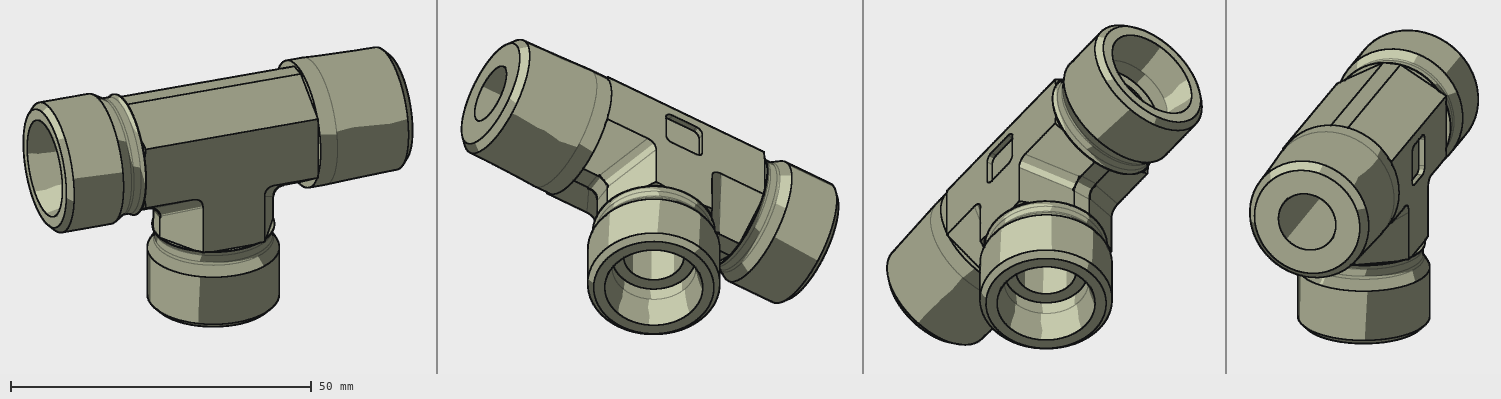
import cadquery as cq
import math

THREAD_END_REACH = 30.0
TAPER_END_REACH = 32.0

HEXAGON_SIDES = 6
BODY_ACROSS_FLATS = 19.0
CREST_DISTANCE = 10.1
BODY_REACH = 15.85
TAPER_BODY_REACH = 15.0
TEE_FILLET = 2.0

THREAD_DIAMETER = 22.0
THREAD_LENGTH = 9.8
THREAD_CHAMFER = 1.0
NECK_DIAMETER = 19.7
LIP_DIAMETER = 20.4
NECK_ARC_RADIUS = 1.0
NECK_ARC_CENTRE_REACH = 16.7
SHOULDER_ANGLE = math.radians(30)

COLLAR_DIAMETER = 21.52
COLLAR_LENGTH = 2.95
TAPER_RATIO = 1 / 16
TAPER_CHAMFER = 1.2

BORE_DIAMETER = 10.0
SOCKET_DIAMETER = 14.0
SOCKET_DEPTH = 8.0
SEAT_DIAMETER = 16.3
SEAT_HALF_ANGLE = math.radians(12)

PANEL_SIZE = 7.1
PANEL_CORNER_RADIUS = 1.2
PANEL_DEPTH = 1.0

NECK_RADIUS = NECK_DIAMETER / 2
NECK_ARC_CENTRE_RADIUS = NECK_RADIUS + NECK_ARC_RADIUS
TOLERANCE = 1e-4

AXIS_START = (0, 0, 0)
AXIS_END = (0, 1, 0)


def to_front(shape):
    """Turn a shape built along +Z so that it points along -Y."""
    return shape.rotate((0, 0, 0), (1, 0, 0), 90)


def to_back(shape):
    """Turn a shape built along +Z so that it points along +Y."""
    return shape.rotate((0, 0, 0), (1, 0, 0), -90)


def to_bottom(shape):
    """Turn a shape built along +Z so that it points along -Z."""
    return shape.rotate((0, 0, 0), (1, 0, 0), 180)


def revolve_about_z(profile):
    """Revolve a closed (radius, reach) profile drawn in the XZ plane."""
    return profile.close().revolve(360, AXIS_START, AXIS_END)


def hexagonal_bar(length):
    """Hexagonal bar along +Z, flats on +-X, the crests on +-Y cut flat."""
    corner_diameter = BODY_ACROSS_FLATS / math.cos(math.pi / HEXAGON_SIDES)
    hexagon = (
        cq.Workplane("XY")
        .transformed(rotate=(0, 0, 90))
        .polygon(HEXAGON_SIDES, corner_diameter)
        .extrude(length)
    )
    crest_limit = cq.Workplane("XY").rect(2 * BODY_ACROSS_FLATS, 2 * CREST_DISTANCE).extrude(length)
    return hexagon.intersect(crest_limit)


def lip_groove():
    """Quarter-round ring, along +Z, that hollows the lip and the bar corners above a neck."""
    arc_top_reach = NECK_ARC_CENTRE_REACH - NECK_ARC_RADIUS
    arc_mid = (
        NECK_ARC_CENTRE_RADIUS - NECK_ARC_RADIUS * math.cos(math.pi / 4),
        NECK_ARC_CENTRE_REACH - NECK_ARC_RADIUS * math.sin(math.pi / 4),
    )
    outside_radius = NECK_ARC_CENTRE_RADIUS + NECK_ARC_RADIUS
    return revolve_about_z(
        cq.Workplane("XZ")
        .moveTo(NECK_RADIUS, NECK_ARC_CENTRE_REACH)
        .threePointArc(arc_mid, (NECK_ARC_CENTRE_RADIUS, arc_top_reach))
        .lineTo(outside_radius, arc_top_reach)
        .lineTo(outside_radius, NECK_ARC_CENTRE_REACH)
    )


def is_inside_corner(edge):
    """True for the edges where the branch meets the run, at equal reach along Y and -Z."""
    centre = edge.Center()
    return abs(abs(centre.y) + centre.z) < TOLERANCE


def tee_body():
    """Run and branch bars, joined with fillets in the two inside corners."""
    run = to_front(hexagonal_bar(BODY_REACH)).union(to_back(hexagonal_bar(TAPER_BODY_REACH)))
    branch = to_bottom(hexagonal_bar(BODY_REACH))
    body = run.union(branch).clean()
    inside_edges = [edge for edge in body.edges().vals() if is_inside_corner(edge)]
    return body.newObject(inside_edges).fillet(TEE_FILLET)


def threaded_end():
    """Neck, conical shoulder and thread cylinder of a straight-threaded end, along +Z."""
    thread_radius = THREAD_DIAMETER / 2
    shoulder_reach = THREAD_END_REACH - THREAD_LENGTH
    cone_start_radius = NECK_ARC_CENTRE_RADIUS - NECK_ARC_RADIUS * math.cos(SHOULDER_ANGLE)
    cone_start_reach = shoulder_reach - (thread_radius - cone_start_radius) / math.tan(SHOULDER_ANGLE)
    neck_end_reach = cone_start_reach - NECK_ARC_RADIUS * math.sin(SHOULDER_ANGLE)
    shoulder_mid = (
        NECK_ARC_CENTRE_RADIUS - NECK_ARC_RADIUS * math.cos(SHOULDER_ANGLE / 2),
        neck_end_reach + NECK_ARC_RADIUS * math.sin(SHOULDER_ANGLE / 2),
    )

    return revolve_about_z(
        cq.Workplane("XZ")
        .moveTo(0, BODY_REACH)
        .lineTo(LIP_DIAMETER / 2, BODY_REACH)
        .lineTo(LIP_DIAMETER / 2, NECK_ARC_CENTRE_REACH)
        .lineTo(NECK_RADIUS, NECK_ARC_CENTRE_REACH)
        .lineTo(NECK_RADIUS, neck_end_reach)
        .threePointArc(shoulder_mid, (cone_start_radius, cone_start_reach))
        .lineTo(thread_radius, shoulder_reach)
        .lineTo(thread_radius, THREAD_END_REACH - THREAD_CHAMFER)
        .lineTo(thread_radius - THREAD_CHAMFER, THREAD_END_REACH)
        .lineTo(0, THREAD_END_REACH)
    )


def tapered_end():
    """Collar and tapered thread with a chamfered tip, along +Z."""
    collar_radius = COLLAR_DIAMETER / 2
    taper_start = TAPER_BODY_REACH + COLLAR_LENGTH
    taper_end = TAPER_END_REACH - TAPER_CHAMFER
    taper_end_radius = collar_radius - (taper_end - taper_start) * TAPER_RATIO / 2
    return revolve_about_z(
        cq.Workplane("XZ")
        .moveTo(0, TAPER_BODY_REACH)
        .lineTo(collar_radius, TAPER_BODY_REACH)
        .lineTo(collar_radius, taper_start)
        .lineTo(taper_end_radius, taper_end)
        .lineTo(taper_end_radius - TAPER_CHAMFER, TAPER_END_REACH)
        .lineTo(0, TAPER_END_REACH)
    )


def bore(reach):
    """Plain bore from the crossing of the axes out to an end, along +Z."""
    return cq.Workplane("XY").circle(BORE_DIAMETER / 2).extrude(reach)


def socket():
    """Tube socket with a conical seat at its mouth, along +Z."""
    socket_radius = SOCKET_DIAMETER / 2
    seat_radius = SEAT_DIAMETER / 2
    seat_length = (seat_radius - socket_radius) / math.tan(SEAT_HALF_ANGLE)
    return revolve_about_z(
        cq.Workplane("XZ")
        .moveTo(0, THREAD_END_REACH - SOCKET_DEPTH)
        .lineTo(socket_radius, THREAD_END_REACH - SOCKET_DEPTH)
        .lineTo(socket_radius, THREAD_END_REACH - seat_length)
        .lineTo(seat_radius, THREAD_END_REACH)
        .lineTo(0, THREAD_END_REACH)
    )


def panel_recess():
    """Shallow rounded-square recess in the -X flat of the body."""
    return (
        cq.Workplane("YZ")
        .workplane(offset=-BODY_ACROSS_FLATS / 2)
        .rect(PANEL_SIZE, PANEL_SIZE)
        .extrude(PANEL_DEPTH)
        .edges("|X")
        .fillet(PANEL_CORNER_RADIUS)
    )


result = tee_body().union(to_back(tapered_end()))
for turn in (to_front, to_bottom):
    result = result.union(turn(threaded_end())).cut(turn(lip_groove()))
    result = result.cut(turn(bore(THREAD_END_REACH))).cut(turn(socket()))
result = result.cut(to_back(bore(TAPER_END_REACH))).cut(panel_recess())